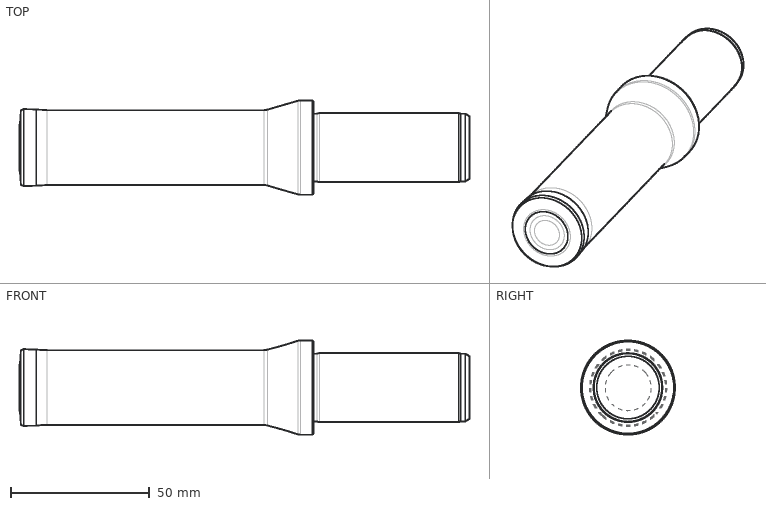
import cadquery as cq
import math

LENGTH = 162.0
FRONT_X = -LENGTH / 2
REAR_X = LENGTH / 2

BIT_LENGTH = 6.0
BIT_RADIUS = 14.0
JOINT_RADIUS = 13.8
FACE_RADIUS = 13.5
FACE_SETBACK = 0.5
FACE_CHAMFER_LENGTH = 1.1

RIM_OUTER_RADIUS = 9.0
RIM_CREST_RADIUS = 8.3
RIM_HEIGHT = 0.2
DISH_RADIUS = 6.6
DISH_DEPTH = 0.3
CENTER_RADIUS = 4.9
CENTER_SETBACK = 0.2

BARREL_RADIUS = 27.0 / 2
BARREL_FRONT_X = FRONT_X + BIT_LENGTH
BARREL_TAPER_LENGTH = 3.9

FLANGE_RADIUS = 34.0 / 2
FLANGE_REAR_X = 25.0
FLANGE_LENGTH = 5.3
FLANGE_CHAMFER = 0.5
SHOULDER_LENGTH = 12.0
SHOULDER_FRONT_X = FLANGE_REAR_X - FLANGE_LENGTH - SHOULDER_LENGTH
SHOULDER_ROOT_FILLET = 4.9
SHOULDER_CREST_FILLET = 3.2

SHANK_RADIUS = 25.0 / 2
RELIEF_RADIUS = 24.5 / 2
NECK_LENGTH = 1.0
NECK_RAMP_LENGTH = 1.0
TIP_LENGTH = 3.2
TIP_RAMP_LENGTH = 0.6
END_CHAMFER_LENGTH = 1.5
END_CHAMFER_DEPTH = 1.0


def turned(outline):
    """Revolve a closed outline, X along the axis and Y as radius, about the X axis."""
    return outline.close().revolve(360, (0, 0, 0), (1, 0, 0))


def make_bit():
    """Slightly tapered bit with a shallow conical face, a raised rim and a dished centre."""
    outline = cq.Workplane("XY").polyline([
        (BARREL_FRONT_X, 0),
        (FRONT_X + CENTER_SETBACK, 0),
        (FRONT_X + CENTER_SETBACK, CENTER_RADIUS),
        (FRONT_X + DISH_DEPTH, DISH_RADIUS),
        (FRONT_X, RIM_CREST_RADIUS),
        (FRONT_X + RIM_HEIGHT, RIM_OUTER_RADIUS),
        (FRONT_X + FACE_SETBACK, FACE_RADIUS),
        (FRONT_X + FACE_SETBACK + FACE_CHAMFER_LENGTH, BIT_RADIUS),
        (BARREL_FRONT_X, JOINT_RADIUS),
    ])
    return turned(outline)


def make_shaft():
    """Barrel, conical shoulder, flange and rear shank in one piece."""
    cone_angle = math.atan2(FLANGE_RADIUS - BARREL_RADIUS, SHOULDER_LENGTH)
    root_setback = SHOULDER_ROOT_FILLET * math.tan(cone_angle / 2)
    crest_setback = SHOULDER_CREST_FILLET * math.tan(cone_angle / 2)
    shoulder_rear_x = SHOULDER_FRONT_X + SHOULDER_LENGTH
    cone_start = (SHOULDER_FRONT_X + root_setback * math.cos(cone_angle),
                  BARREL_RADIUS + root_setback * math.sin(cone_angle))
    cone_end = (shoulder_rear_x - crest_setback * math.cos(cone_angle),
                FLANGE_RADIUS - crest_setback * math.sin(cone_angle))
    barrel_end = (SHOULDER_FRONT_X - root_setback, BARREL_RADIUS)
    flange_start = (shoulder_rear_x + crest_setback, FLANGE_RADIUS)

    neck_end_x = FLANGE_REAR_X + NECK_LENGTH
    tip_start_x = REAR_X - TIP_LENGTH
    outline = (
        cq.Workplane("XY")
        .moveTo(BARREL_FRONT_X, 0)
        .lineTo(BARREL_FRONT_X, JOINT_RADIUS)
        .lineTo(BARREL_FRONT_X + BARREL_TAPER_LENGTH, BARREL_RADIUS)
        .lineTo(*barrel_end)
        .tangentArcPoint(cone_start, relative=False)
        .lineTo(*cone_end)
        .tangentArcPoint(flange_start, relative=False)
        .lineTo(FLANGE_REAR_X - FLANGE_CHAMFER, FLANGE_RADIUS)
        .lineTo(FLANGE_REAR_X, FLANGE_RADIUS - FLANGE_CHAMFER)
        .lineTo(FLANGE_REAR_X, RELIEF_RADIUS)
        .lineTo(neck_end_x, RELIEF_RADIUS)
        .lineTo(neck_end_x + NECK_RAMP_LENGTH, SHANK_RADIUS)
        .lineTo(tip_start_x - TIP_RAMP_LENGTH, SHANK_RADIUS)
        .lineTo(tip_start_x, RELIEF_RADIUS)
        .lineTo(REAR_X - END_CHAMFER_LENGTH, RELIEF_RADIUS)
        .lineTo(REAR_X, RELIEF_RADIUS - END_CHAMFER_DEPTH)
        .lineTo(REAR_X, 0)
    )
    return turned(outline)


bit = make_bit()
shaft = make_shaft()

result = cq.Compound.makeCompound([bit.val(), shaft.val()])